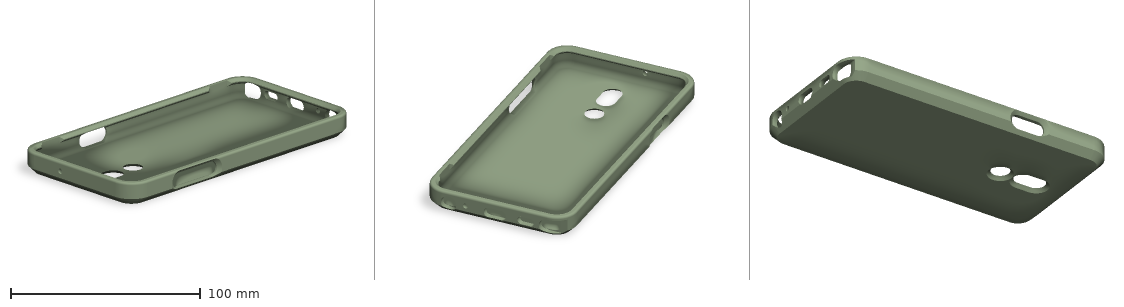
import cadquery as cq

width = 84.5
length = 166.8
height = 13.0
outer_corner_radius = 11.75
base_chamfer = 4.0
rim_fillet = 1.25

wall = 3.0
floor_thickness = 2.0
floor_fillet = 3.0
cavity_width = width - 2 * wall
cavity_length = length - 2 * wall
cavity_corner_radius = outer_corner_radius - wall

lip_reach = 1.5
lip_crest_height = 0.5
crest_top = height - lip_reach
crest_bottom = crest_top - lip_crest_height
lip_bottom = crest_bottom - lip_reach

gap_near = 55.9
gap_far = 68.7
gap_end_slope = 2.0

camera_diameter = 10.5
sensor_y = -40.2
camera_slot_y = -58.8
camera_slot_length = 18.7

port_z = height / 2
button_height = 8.6
flare_height = height
flare_depth = 2.0
button_cut_depth = wall + floor_fillet
left_button_y = -30.8
left_button_length = 20.5
right_button_y = -34.4
right_button_length = 32.8

end_cut_depth = 4.8
large_port_z = 6.25
large_port_diameter = 9.0
round_port_x = 27.0
corner_port_inner_x = -25.6
corner_port_outer_x = -width / 2 - large_port_diameter
usb_x = 0.0
usb_length = 13.0
usb_height = 6.0
jack_x = -18.0
jack_length = 9.8
jack_height = 4.5
jack_z = 6.6
mic_diameter = 3.0
front_mic_z = 7.8
rear_mic_z = 7.3
rear_mic_x = 17.1
front_mic_x = -10.8


def rounded_block(size_x, size_y, corner_radius, bottom, top):
    """Upright block with rounded vertical corners between two heights."""
    return (
        cq.Workplane("XY")
        .workplane(offset=bottom)
        .rect(size_x, size_y)
        .extrude(top - bottom)
        .edges("|Z")
        .fillet(corner_radius)
    )


def outer_body():
    """Solid outer shape with a chamfered back and a rounded rim."""
    body = rounded_block(width, length, outer_corner_radius, 0, height)
    return body.faces("<Z").edges().chamfer(base_chamfer).faces(">Z").edges().fillet(rim_fillet)


def lip_gap(side_x, side_y):
    """Wedge-ended block that removes the lip beside one corner."""
    wall_x = side_x * cavity_width / 2
    crest_x = wall_x - side_x * lip_reach
    outline = [
        (wall_x, side_y * gap_near),
        (crest_x, side_y * (gap_near - gap_end_slope)),
        (crest_x, side_y * (gap_far + gap_end_slope)),
        (wall_x, side_y * gap_far),
    ]
    base = cq.Workplane("XY").workplane(offset=lip_bottom)
    return base.polyline(outline).close().extrude(height - lip_bottom)


def cavity():
    """Void for the phone, narrowed by the lip near the rim and open past the top."""
    pocket = rounded_block(cavity_width, cavity_length, cavity_corner_radius, floor_thickness, crest_bottom)
    pocket = pocket.faces("<Z").edges().fillet(floor_fillet).faces(">Z").edges().chamfer(lip_reach)
    neck = rounded_block(
        cavity_width - 2 * lip_reach,
        cavity_length - 2 * lip_reach,
        cavity_corner_radius - lip_reach,
        crest_bottom,
        crest_top,
    )
    mouth = rounded_block(cavity_width, cavity_length, cavity_corner_radius, crest_top, height + wall)
    mouth = mouth.faces("<Z").edges().chamfer(lip_reach)
    void = pocket.union(neck).union(mouth)
    for side_x in (-1, 1):
        for side_y in (-1, 1):
            void = void.union(lip_gap(side_x, side_y))
    return void


def floor_openings():
    """Round sensor hole and long camera slot, widening at 45 degrees towards the back."""
    spread = 2 * floor_thickness
    inside = cq.Workplane("XY").workplane(offset=floor_thickness)
    sensor = (
        inside.center(0, sensor_y)
        .circle(camera_diameter / 2)
        .workplane(offset=-floor_thickness)
        .circle((camera_diameter + spread) / 2)
        .loft(ruled=True)
    )
    camera = (
        inside.center(0, camera_slot_y)
        .slot2D(camera_slot_length, camera_diameter, 90)
        .workplane(offset=-floor_thickness)
        .slot2D(camera_slot_length + spread, camera_diameter + spread, 90)
        .loft(ruled=True)
    )
    return sensor.union(camera)


def button_opening(side_x, center_y, inner_length):
    """Slot through a long side that widens towards the outer face."""
    outer_length = inner_length + flare_height - button_height
    outer_plane = cq.Plane(
        origin=(side_x * width / 2, center_y, port_z),
        xDir=(0, 1, 0),
        normal=(-side_x, 0, 0),
    )
    slot = cq.Workplane(outer_plane).slot2D(inner_length, button_height).extrude(button_cut_depth)
    flare = (
        cq.Workplane(outer_plane)
        .slot2D(outer_length, flare_height)
        .workplane(offset=flare_depth)
        .slot2D(inner_length, button_height)
        .loft(ruled=True)
    )
    return slot.union(flare)


def end_plane(side_y, x, z):
    """Plane on a short side, facing into the case."""
    return cq.Workplane(cq.Plane(origin=(x, side_y * length / 2, z), xDir=(1, 0, 0), normal=(0, -side_y, 0)))


def end_slot(side_y, x, z, slot_length, slot_height):
    """Horizontal round-ended port through a short side."""
    return end_plane(side_y, x, z).slot2D(slot_length, slot_height).extrude(end_cut_depth)


def end_hole(side_y, x, z, diameter):
    """Round port through a short side."""
    return end_plane(side_y, x, z).circle(diameter / 2).extrude(end_cut_depth)


def rear_end_openings():
    """Ports through the +Y end, from the open corner to the round port."""
    corner_length = corner_port_inner_x - corner_port_outer_x
    corner_x = (corner_port_inner_x + corner_port_outer_x) / 2
    corner = end_slot(1, corner_x, large_port_z, corner_length, large_port_diameter)
    jack = end_slot(1, jack_x, jack_z, jack_length, jack_height)
    usb = end_slot(1, usb_x, port_z, usb_length, usb_height)
    mic = end_hole(1, rear_mic_x, rear_mic_z, mic_diameter)
    port = end_hole(1, round_port_x, large_port_z, large_port_diameter)
    return corner.union(jack).union(usb).union(mic).union(port)


def front_mic_hole():
    """Microphone hole through the -Y end."""
    return end_hole(-1, front_mic_x, front_mic_z, mic_diameter)


result = (
    outer_body()
    .cut(cavity())
    .cut(floor_openings())
    .cut(button_opening(-1, left_button_y, left_button_length))
    .cut(button_opening(1, right_button_y, right_button_length))
    .cut(rear_end_openings())
    .cut(front_mic_hole())
)